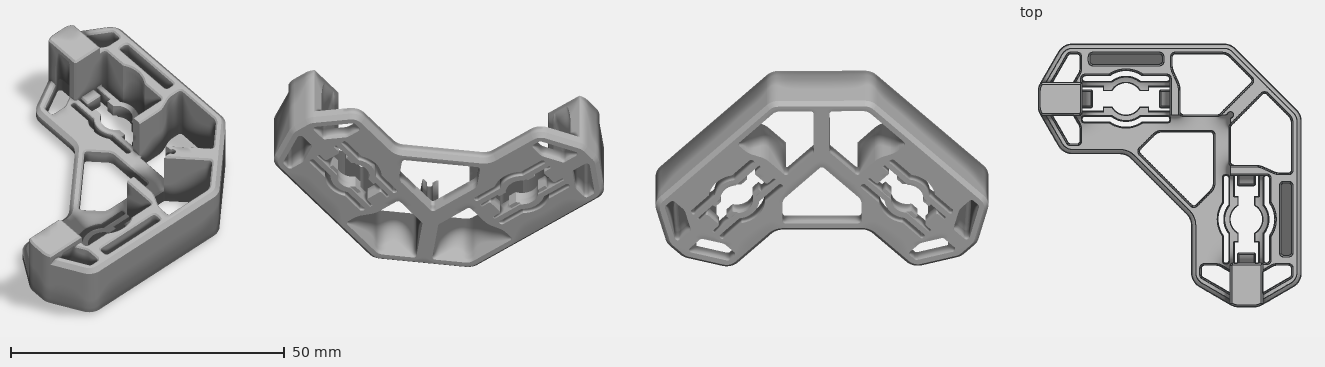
import cadquery as cq
import math

span = 48.0
plate_height = 3.0
wall_height = 12.0
tower_height = 13.6
outer_chamfer = 0.75
tower_chamfer = 0.35
rim_chamfer = 0.3
small_chamfer = 0.15

arm_width = 20.0
arm_axis = span - arm_width / 2
nose_half_flat = 2.1
nose_angle = math.radians(30)
nose_depth = (arm_width / 2 - nose_half_flat) * math.tan(nose_angle)
inner_bend_x = 16.15
outer_bend_x = 35.1
outer_radius = 3.0

opening_wall = 1.8
corner_radius = 0.6
bend_radius = 2.0

tower_length = 8.0
tower_width = 6.0
channel_length = 16.0
channel_half_width = 4.2
channel_bulge_radius = 5.2
channel_start = tower_length
channel_end = channel_start + channel_length
channel_middle = channel_start + channel_length / 2

beam_outer_half = 3.2
beam_bulge_radius = 4.15
beam_inner_half = 2.2
hole_radius = 3.0
tab_bottom = 0.4
slot_end_radius = 0.4
tab_half_gap = 1.5
tab_half_length = 4.15
stop_length = 1.85
stop_half_width = 1.65
stop_corner_radius = 0.35
stop_chamfer = 0.3

square_side = 35.1
relief_radius = 0.6
relief_mouth_radius = 0.4

nose_opening_x = 7.65
nose_opening_bend = 5.1
pocket_floor_offset = 1.3
pocket_top = 12.35

corner_opening_x = 24.45
end_wall_x = 25.85
end_wall_bend_top = 43.5
end_wall_bend_bottom = 40.4
end_wall_radius = 3.85
rib_offset = 2.05
wall_opening_bottom = square_side - 0.95

center_opening_edge = 31.95
center_opening_offset = 10.2

groove_start = 9.4
groove_end = 22.65
groove_bottom = 44.3


def rounded(corners, z=0.0):
    """Closed outline through (x, y, radius) corners, each rounded by an arc."""
    wire = None
    for i, (x, y, radius) in enumerate(corners):
        before = corners[i - 1]
        after = corners[(i + 1) % len(corners)]
        corner = cq.Vector(x, y)
        back = (cq.Vector(before[0], before[1]) - corner).normalized()
        ahead = (cq.Vector(after[0], after[1]) - corner).normalized()
        half_angle = back.getAngle(ahead) / 2
        setback = radius / math.tan(half_angle)
        to_arc = radius / math.sin(half_angle) - radius
        start = (corner + back * setback).toTuple()[:2]
        middle = (corner + (back + ahead).normalized() * to_arc).toTuple()[:2]
        end = (corner + ahead * setback).toTuple()[:2]
        if wire is None:
            wire = cq.Workplane("XY", origin=(0, 0, z)).moveTo(*start)
        else:
            wire = wire.lineTo(*start)
        if radius > 0:
            wire = wire.threePointArc(middle, end)
    return wire.close()


def swapped(corners):
    """The corners mirrored about x = y, in reverse order."""
    return [(y, x, radius) for x, y, radius in reversed(corners)]


def both(arm_feature):
    """The feature on both arms."""
    return arm_feature.union(arm_feature.mirror((1, -1, 0)))


def rectangle(x0, x1, y0, y1, radius=0.0):
    return [(x0, y0, radius), (x1, y0, radius), (x1, y1, radius), (x0, y1, radius)]


def prism(corners, height):
    return rounded(corners).extrude(height)


def disc(radius):
    return cq.Workplane("XY").center(channel_middle, arm_axis).circle(radius)


def flared(profile, top, chamfer):
    """Cutter or post on a profile, sloping at 45 degrees near its top (outward if chamfer > 0)."""
    slope = -45 if chamfer > 0 else 45
    depth = abs(chamfer)
    wire = profile.val()
    flare = cq.Workplane("XY").add(wire).toPending().extrude(depth, taper=slope)
    straight = cq.Workplane("XY").add(wire).toPending().extrude(top - depth)
    return straight.union(flare.translate((0, 0, top - depth)))


def outline():
    half = [
        (inner_bend_x, span - arm_width, outer_radius),
        (nose_depth, span - arm_width, outer_radius),
        (0, arm_axis - nose_half_flat, outer_radius),
        (0, arm_axis + nose_half_flat, outer_radius),
        (nose_depth, span, outer_radius),
        (outer_bend_x, span, outer_radius),
    ]
    return half + swapped(half)


def chamfered_block(height, top_chamfer):
    block = prism(outline(), height)
    return block.faces(">Z").chamfer(top_chamfer).faces("<Z").chamfer(outer_chamfer)


def nose_opening(inner_offset, side, z=0.0):
    """Opening beside the tower on one side (+1 or -1) of the arm axis, starting inner_offset from it."""
    left_shift = opening_wall / math.cos(nose_angle) - nose_half_flat * math.tan(nose_angle)
    outer_offset = arm_width / 2 - opening_wall
    corners = []
    for x, offset, radius in [
        (left_shift + inner_offset * math.tan(nose_angle), inner_offset, corner_radius),
        (left_shift + outer_offset * math.tan(nose_angle), outer_offset, corner_radius),
        (nose_opening_x, outer_offset, corner_radius),
        (nose_opening_x, nose_opening_bend, bend_radius),
        (
            nose_opening_x - (nose_opening_bend - inner_offset) * math.tan(nose_angle),
            inner_offset,
            corner_radius,
        ),
    ]:
        corners.append((x, arm_axis + side * offset, radius))
    return rounded(corners, z)


def corner_opening(bottom):
    edge = span - opening_wall
    diagonal_sum = outer_bend_x + span - opening_wall * math.sqrt(2)
    return rounded([
        (corner_opening_x, edge, corner_radius),
        (diagonal_sum - edge, edge, bend_radius),
        ((diagonal_sum - rib_offset) / 2, (diagonal_sum + rib_offset) / 2, corner_radius),
        (bottom - rib_offset, bottom, corner_radius),
        (end_wall_x, bottom, corner_radius),
        (end_wall_x, end_wall_bend_bottom, end_wall_radius),
        (corner_opening_x, end_wall_bend_top, end_wall_radius),
    ])


def center_opening():
    diagonal_sum = inner_bend_x + span - arm_width + opening_wall * math.sqrt(2)
    half = [
        (
            (diagonal_sum - center_opening_offset) / 2,
            (diagonal_sum + center_opening_offset) / 2,
            corner_radius,
        ),
        (center_opening_edge - center_opening_offset, center_opening_edge, bend_radius),
    ]
    tip = [(center_opening_edge, center_opening_edge, corner_radius)]
    return rounded(half + tip + swapped(half))


def arm_openings(top, corner_bottom):
    """Corner and nose openings of one arm, with a chamfered rim at the given height."""
    openings = flared(corner_opening(corner_bottom), top, rim_chamfer)
    for side in (1, -1):
        openings = openings.union(flared(nose_opening(pocket_floor_offset, side), top, rim_chamfer))
    return openings


def across(x0, x1, half_width, radius=0.0):
    """Rectangle centered across the arm."""
    return rounded(rectangle(x0, x1, arm_axis - half_width, arm_axis + half_width, radius))


def channel():
    """Space above the channel floor, with a bulge on each side."""
    straight = across(channel_start, channel_end, channel_half_width, corner_radius)
    bulge = flared(disc(channel_bulge_radius), wall_height, rim_chamfer)
    return flared(straight, wall_height, rim_chamfer).union(bulge)


def spring_slots():
    """Slots and shaped hole that leave two thin tabbed beams in the channel floor."""
    beams = flared(across(0, span, beam_outer_half), plate_height, -small_chamfer)
    beams = beams.union(flared(disc(beam_bulge_radius), plate_height, -small_chamfer))
    slots = flared(disc(channel_bulge_radius), plate_height, small_chamfer)
    for side in (1, -1):
        edges = [arm_axis + side * beam_outer_half, arm_axis + side * channel_half_width]
        strip = rectangle(channel_start, channel_end, *sorted(edges), slot_end_radius)
        slots = slots.union(flared(rounded(strip), plate_height, small_chamfer))
    slots = slots.cut(beams)
    hole = disc(hole_radius).extrude(plate_height)
    gap = across(channel_start, channel_end, tab_half_gap)
    hole = hole.union(gap.extrude(plate_height))
    tab_start = channel_middle - tab_half_length
    tab_end = channel_middle + tab_half_length
    ends = flared(across(channel_start, channel_end, beam_inner_half), plate_height, small_chamfer)
    ends = ends.cut(across(tab_start, tab_end, channel_half_width).extrude(plate_height))
    below_tabs = across(channel_start, channel_end, beam_inner_half).extrude(tab_bottom)
    return slots.union(hole).union(ends).union(below_tabs)


def end_stops():
    """Blocks that reach into the hole from both ends of the channel."""
    left = across(0, channel_start + stop_length, stop_half_width).extrude(plate_height)
    left = left.edges("|Z and >X").fillet(stop_corner_radius).faces(">Z").chamfer(stop_chamfer)
    left = left.intersect(across(channel_start, span, channel_half_width).extrude(plate_height))
    return left.union(left.mirror("YZ", (channel_middle, 0, 0)))


def tower_space(height):
    return across(0, tower_length, tower_width / 2).extrude(height)


def plate():
    """Low plate under the whole L, with every opening through it."""
    body = chamfered_block(plate_height, outer_chamfer)
    body = body.cut(flared(center_opening(), plate_height, rim_chamfer))
    body = body.cut(both(arm_openings(plate_height, square_side)))
    return body.cut(both(spring_slots())).union(both(end_stops()))


def groove():
    """Blind groove, with its floor level with the top of the plate."""
    corners = rectangle(groove_start, groove_end, groove_bottom, span - opening_wall, corner_radius)
    solid = flared(rounded(corners), wall_height, rim_chamfer)
    return solid.cut(cq.Workplane("XY").box(3 * span, 3 * span, 2 * plate_height))


def open_square():
    """Space between the arms, with a rounded relief at its inside corner."""
    square = prism(rectangle(0, square_side, 0, square_side), wall_height)
    relief = cq.Workplane("XY").center(square_side, square_side).circle(relief_radius)
    space = square.union(relief.extrude(wall_height))
    mouth = square_side - relief_radius
    for x, y in [(mouth, square_side), (square_side, mouth)]:
        edge = cq.selectors.NearestToPointSelector((x, y, wall_height / 2))
        space = space.edges("|Z").edges(edge).fillet(relief_mouth_radius)
    return space


def walls():
    """Tall walls along the outside of the L."""
    body = chamfered_block(wall_height, outer_chamfer)
    body = body.cut(open_square())
    arm_cut = arm_openings(wall_height, wall_opening_bottom).union(channel())
    arm_cut = arm_cut.union(groove()).union(tower_space(wall_height))
    return body.cut(both(arm_cut))


def tower():
    """Clip tower at the nose, with a sloping pocket above each nose opening."""
    body = prism(outline(), tower_height).faces("<Z").chamfer(outer_chamfer)
    body = body.intersect(tower_space(tower_height))
    body = body.faces(">X").edges("<Y").chamfer(tower_chamfer)
    body = body.faces(">Z").chamfer(tower_chamfer)
    for side in (1, -1):
        body = body.cut(nose_opening(pocket_floor_offset, side).extrude(plate_height))
        lower = nose_opening(pocket_floor_offset, side, plate_height).val()
        upper = nose_opening(tower_width / 2, side, pocket_top).val()
        body = body.cut(cq.Workplane(cq.Solid.makeLoft([lower, upper], True)))
    return body


result = plate().union(walls()).union(both(tower()))